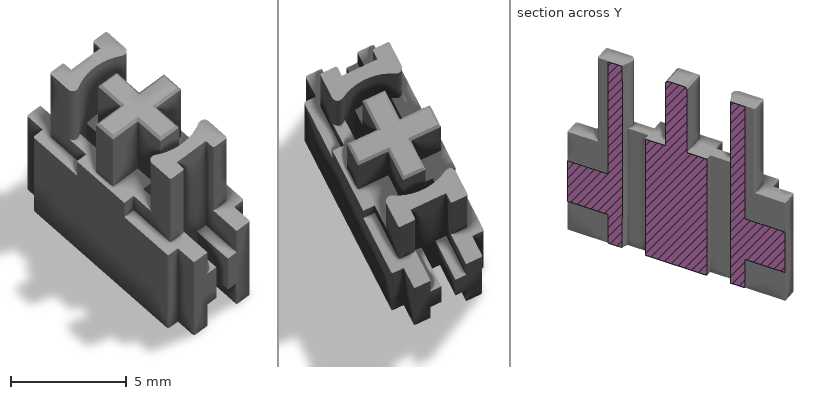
import cadquery as cq

LENGTH = 10.72
WIDTH = 4.45
HEIGHT = 9.91

BASE_TOP = 5.33
BASE_MID_LENGTH = 8.66
BASE_END_WIDTH = 3.3
CORNER_RADIUS = 0.08

DECK_TOP = 6.36
NECK_WIDTH = 3.34
DECK_MID_LENGTH = 3.04

POST_OUTER_X = 3.88
POST_WAIST_X = 2.795
POST_HOLLOW_RADIUS = 2.58
POST_TIP_RADIUS = 0.26

SLOT_WIDTH = 1.71
SLOT_FLOOR_X = 3.385
KEY_GAP = 0.68
KEY_BOTTOM = 1.55
KEY_TOP = 3.79

OPENING_WIDTH = 2.24

CROSS_SPAN = 4.0
CROSS_ARM_WIDTH = 1.09
CROSS_CHAMFER = 0.12


def block(length, width, bottom, top):
    """Box centred on the Z axis between two heights."""
    return (
        cq.Workplane("XY", origin=(0, 0, bottom))
        .rect(length, width)
        .extrude(top - bottom)
    )


def end_block(inner_x, width, bottom, top):
    """Box from inner_x out to the +X end of the part."""
    length = LENGTH / 2 - inner_x
    return block(length, width, bottom, top).translate((inner_x + length / 2, 0, 0))


def hollow_cylinder(bottom, top):
    """Cylinder whose wall forms the concave inner face of the +X post."""
    center_x = POST_WAIST_X - POST_HOLLOW_RADIUS
    return (
        cq.Workplane("XY", origin=(center_x, 0, bottom))
        .circle(POST_HOLLOW_RADIUS)
        .extrude(top - bottom)
    )


def both_ends(shape):
    """The shape together with its mirror image at the -X end."""
    return shape.union(shape.mirror("YZ"))


def make_base():
    middle = block(BASE_MID_LENGTH, WIDTH, 0, BASE_TOP).edges("|Z").fillet(CORNER_RADIUS)
    ends = block(LENGTH, BASE_END_WIDTH, 0, BASE_TOP).edges("|Z").fillet(CORNER_RADIUS)
    return middle.union(ends)


def make_deck():
    crosspiece = block(DECK_MID_LENGTH, WIDTH, BASE_TOP, DECK_TOP)
    beam = block(2 * POST_WAIST_X, NECK_WIDTH, BASE_TOP, DECK_TOP)
    return crosspiece.union(beam)


def make_post():
    """+X post: solid up to the deck, hollowed inside above it, grooved outside."""
    hollow_center_x = POST_WAIST_X - POST_HOLLOW_RADIUS
    length = POST_OUTER_X - hollow_center_x
    place = (hollow_center_x + length / 2, 0, 0)
    foot = block(length, NECK_WIDTH, BASE_TOP, DECK_TOP).translate(place)
    column = block(length, NECK_WIDTH, DECK_TOP, HEIGHT).translate(place)
    column = column.cut(hollow_cylinder(DECK_TOP, HEIGHT))
    column = column.edges("|Z and <X").fillet(POST_TIP_RADIUS)
    groove = end_block(SLOT_FLOOR_X, SLOT_WIDTH, BASE_TOP, HEIGHT)
    return foot.union(column).cut(groove).edges("|Z and >X").fillet(CORNER_RADIUS)


def make_end_slot():
    """+X slot cutter, with the two keys left standing in it."""
    wide = end_block(SLOT_FLOOR_X, SLOT_WIDTH, 0, BASE_TOP)
    keyed = end_block(SLOT_FLOOR_X, SLOT_WIDTH, KEY_BOTTOM, KEY_TOP)
    gap = end_block(SLOT_FLOOR_X, KEY_GAP, KEY_BOTTOM, KEY_TOP)
    return wide.cut(keyed).union(gap)


def make_openings():
    """+X pair of vertical openings, separated by a spoke as wide as a cross arm."""
    pair = end_block(DECK_MID_LENGTH / 2, OPENING_WIDTH, 0, DECK_TOP)
    spoke = end_block(DECK_MID_LENGTH / 2, CROSS_ARM_WIDTH, 0, DECK_TOP)
    return pair.cut(spoke).intersect(hollow_cylinder(0, DECK_TOP))


def make_cross():
    arm_x = block(CROSS_SPAN, CROSS_ARM_WIDTH, DECK_TOP, HEIGHT)
    arm_y = block(CROSS_ARM_WIDTH, CROSS_SPAN, DECK_TOP, HEIGHT)
    return arm_x.union(arm_y).faces(">Z").chamfer(CROSS_CHAMFER)


result = (
    make_base()
    .cut(both_ends(make_end_slot()))
    .union(make_deck())
    .union(both_ends(make_post()))
    .cut(both_ends(make_openings()))
    .union(make_cross())
)